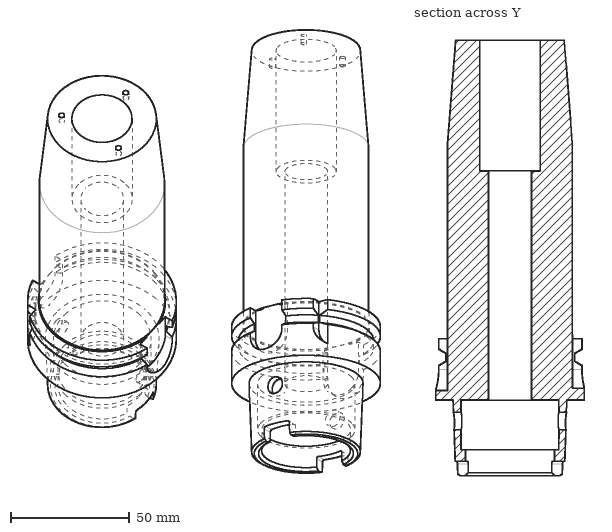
import cadquery as cq

total_height = 184.4
flange_bottom = 32.0
flange_top = 58.0
nose_cone_height = 44.5

body_radius = 26.5
nose_radius = 23.0
collar_radius = 27.0
collar_height = 0.5

flange_radius = 31.5
groove_radius = 28.5
groove_middle = 50.2
groove_floor_width = 3.3
groove_mouth_width = 6.8

shank_top_radius = 24.2
shank_bottom_radius = 23.0
shank_chamfer_radial = 1.1
shank_chamfer_height = 0.7
shank_mouth_radius = 18.8
shank_mouth_chamfer = 1.3
shank_lip_height = 11.0
shank_undercut_radius = 20.7
shank_bore_depth = flange_bottom

tool_bore_radius = 12.7
tool_bore_depth = 55.3
clearance_radius = 9.0

outlet_count = 3
outlet_radius = 1.2
outlet_circle_radius = 17.1
outlet_depth = 3.7
outlet_tip_height = 0.7

slot_floor_distance = 26.5
narrow_slot_width = 16.0
wide_slot_width = 18.0
slot_center_height = 45.2

notch_floor_x = -20.1
notch_wall_y = -20.0
notch_middle_y = notch_wall_y - narrow_slot_width / 2

cross_hole_radius = 3.7
cross_hole_height = 23.2
key_gap_width = 12.7
key_gap_height = 6.0
key_gap_corner = 1.0


def outer_body():
    floor_half = groove_floor_width / 2
    mouth_half = groove_mouth_width / 2
    return (
        cq.Workplane("XZ")
        .moveTo(0, 0)
        .lineTo(shank_bottom_radius - shank_chamfer_radial, 0)
        .lineTo(shank_bottom_radius, shank_chamfer_height)
        .lineTo(shank_top_radius, flange_bottom)
        .lineTo(flange_radius, flange_bottom)
        .lineTo(flange_radius, groove_middle - mouth_half)
        .lineTo(groove_radius, groove_middle - floor_half)
        .lineTo(groove_radius, groove_middle + floor_half)
        .lineTo(flange_radius, groove_middle + mouth_half)
        .lineTo(flange_radius, flange_top)
        .lineTo(collar_radius, flange_top)
        .lineTo(collar_radius, flange_top + collar_height)
        .lineTo(body_radius, flange_top + collar_height)
        .lineTo(body_radius, total_height - nose_cone_height)
        .lineTo(nose_radius, total_height)
        .lineTo(0, total_height)
        .close()
        .revolve(360, (0, 0, 0), (0, 1, 0))
    )


def axial_bores():
    shank_bore = (
        cq.Workplane("XZ")
        .moveTo(0, 0)
        .lineTo(shank_mouth_radius + shank_mouth_chamfer, 0)
        .lineTo(shank_mouth_radius, shank_mouth_chamfer)
        .lineTo(shank_mouth_radius, shank_lip_height)
        .lineTo(shank_undercut_radius, shank_lip_height)
        .lineTo(shank_undercut_radius, shank_bore_depth)
        .lineTo(0, shank_bore_depth)
        .close()
        .revolve(360, (0, 0, 0), (0, 1, 0))
    )
    clearance = cq.Workplane("XY").circle(clearance_radius).extrude(total_height)
    tool_bore = (
        cq.Workplane("XY", origin=(0, 0, total_height))
        .circle(tool_bore_radius)
        .extrude(-tool_bore_depth)
    )
    return shank_bore.union(clearance).union(tool_bore)


def coolant_outlets():
    outlet = (
        cq.Workplane("XZ", origin=(0, outlet_circle_radius, total_height))
        .moveTo(0, 0)
        .lineTo(outlet_radius, 0)
        .lineTo(outlet_radius, -outlet_depth)
        .lineTo(0, -outlet_depth - outlet_tip_height)
        .close()
        .revolve(360, (0, 0, 0), (0, 1, 0))
    )
    outlets = cq.Workplane("XY")
    for index in range(outlet_count):
        outlets = outlets.add(outlet.rotate((0, 0, 0), (0, 0, 1), index * 360 / outlet_count))
    return outlets.combine()


def round_ended_slot(floor_x, middle_y, width, side):
    """Cutter open above the collar, running from floor_x toward -X (side -1) or +X (side 1)."""
    half = width / 2
    straight_height = flange_top + collar_height - slot_center_height
    return (
        cq.Workplane("YZ", origin=(floor_x, middle_y, slot_center_height))
        .moveTo(-half, straight_height)
        .lineTo(-half, 0)
        .threePointArc((0, -half), (half, 0))
        .lineTo(half, straight_height)
        .close()
        .extrude(side * flange_radius)
    )


def cross_hole():
    return (
        cq.Workplane("YZ", origin=(0, 0, cross_hole_height))
        .circle(cross_hole_radius)
        .extrude(flange_radius, both=True)
    )


def key_gap():
    return (
        cq.Workplane("XY")
        .box(2 * flange_radius, key_gap_width, key_gap_height, centered=(True, True, False))
        .edges("|X and >Z")
        .fillet(key_gap_corner)
    )


result = (
    outer_body()
    .cut(axial_bores())
    .cut(coolant_outlets())
    .cut(round_ended_slot(-slot_floor_distance, 0, narrow_slot_width, -1))
    .cut(round_ended_slot(slot_floor_distance, 0, wide_slot_width, 1))
    .cut(round_ended_slot(notch_floor_x, notch_middle_y, narrow_slot_width, -1))
    .cut(cross_hole())
    .cut(key_gap())
)